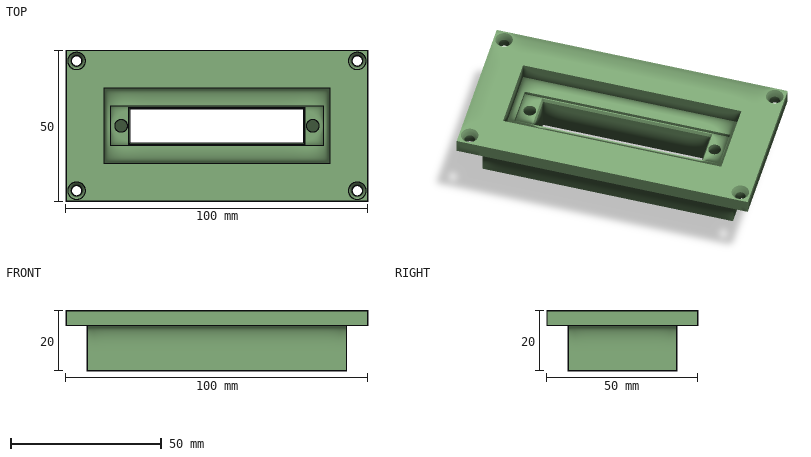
import cadquery as cq
import math

FLANGE_LENGTH = 100.0
FLANGE_WIDTH = 50.0
FLANGE_THICKNESS = 5.0

BODY_LENGTH = 86.0
BODY_WIDTH = 36.0
TOTAL_HEIGHT = 20.0
BODY_HEIGHT = TOTAL_HEIGHT - FLANGE_THICKNESS

POCKET_LENGTH = 75.0
POCKET_WIDTH = 25.0
POCKET_DEPTH = 6.0
RECESS_LENGTH = 70.5
RECESS_WIDTH = 13.0
RECESS_DEPTH = 1.2
WINDOW_LENGTH = 57.5
WINDOW_WIDTH = 11.3
RIM_FLARE = 0.5
RIM_DEPTH = 1.0
POCKET_FLOOR_Z = TOTAL_HEIGHT - POCKET_DEPTH
RECESS_FLOOR_Z = POCKET_FLOOR_Z - RECESS_DEPTH

BLIND_HOLE_DIAMETER = 4.2
BLIND_HOLE_SPACING = 63.5
BLIND_HOLE_DEPTH = 8.0

MOUNT_HOLE_DIAMETER = 3.4
COUNTERSINK_DIAMETER = 5.8
COUNTERSINK_DEPTH = 2.0
MOUNT_HOLE_INSET = 3.5
COUNTERSINK_ANGLE = 2 * math.degrees(
    math.atan((COUNTERSINK_DIAMETER - MOUNT_HOLE_DIAMETER) / 2 / COUNTERSINK_DEPTH)
)
MOUNT_HOLE_SPACING_X = FLANGE_LENGTH - 2 * MOUNT_HOLE_INSET
MOUNT_HOLE_SPACING_Y = FLANGE_WIDTH - 2 * MOUNT_HOLE_INSET


def block(length, width, height, bottom_z):
    """Box centred on the Z axis, standing on bottom_z."""
    return cq.Workplane("XY").workplane(offset=bottom_z).rect(length, width).extrude(height)


def make_flanged_body():
    body = block(BODY_LENGTH, BODY_WIDTH, BODY_HEIGHT, 0)
    flange = block(FLANGE_LENGTH, FLANGE_WIDTH, FLANGE_THICKNESS, BODY_HEIGHT)
    return body.union(flange)


def cut_stepped_opening(part):
    pocket = block(POCKET_LENGTH, POCKET_WIDTH, POCKET_DEPTH, POCKET_FLOOR_Z)
    recess = block(RECESS_LENGTH, RECESS_WIDTH, RECESS_DEPTH, RECESS_FLOOR_Z)
    window = block(WINDOW_LENGTH, WINDOW_WIDTH, RECESS_FLOOR_Z, 0)
    rim = (
        cq.Workplane("XY")
        .workplane(offset=RECESS_FLOOR_Z - RIM_DEPTH)
        .rect(WINDOW_LENGTH, WINDOW_WIDTH)
        .workplane(offset=RIM_DEPTH)
        .rect(WINDOW_LENGTH + 2 * RIM_FLARE, WINDOW_WIDTH + 2 * RIM_FLARE)
        .loft(ruled=True)
    )
    return part.cut(pocket).cut(recess).cut(window).cut(rim)


def cut_blind_holes(part):
    holes = (
        cq.Workplane("XY")
        .workplane(offset=RECESS_FLOOR_Z)
        .rarray(BLIND_HOLE_SPACING, 1, 2, 1)
        .circle(BLIND_HOLE_DIAMETER / 2)
        .extrude(-BLIND_HOLE_DEPTH)
    )
    return part.cut(holes)


def cut_mounting_holes(part):
    return (
        part.faces(">Z")
        .workplane(origin=(0, 0, TOTAL_HEIGHT))
        .rarray(MOUNT_HOLE_SPACING_X, MOUNT_HOLE_SPACING_Y, 2, 2)
        .cskHole(MOUNT_HOLE_DIAMETER, COUNTERSINK_DIAMETER, COUNTERSINK_ANGLE)
    )


part = make_flanged_body()
part = cut_stepped_opening(part)
part = cut_blind_holes(part)
result = cut_mounting_holes(part)